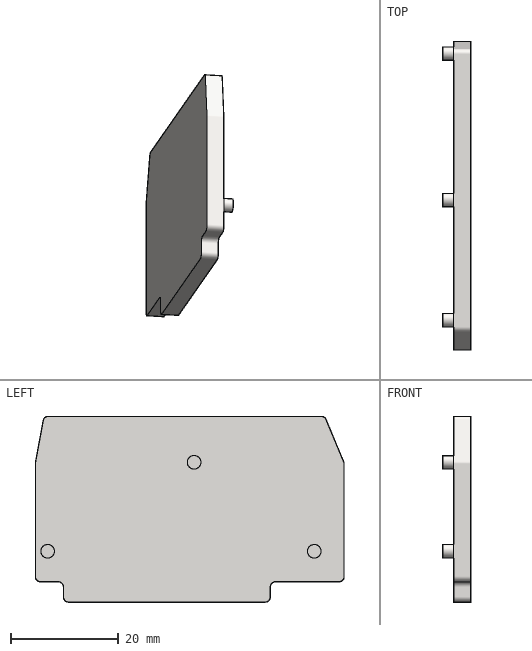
import cadquery as cq

length = 57.55
height = 34.65
total_depth = 5.25
plate_thickness = 3.2
peg_length = total_depth - plate_thickness

half_length = length / 2
top = height / 2
bottom = -top
shoulder = bottom + 3.8
slope_start = top - 8.7
back_slope_run = 1.6
front_slope_run = 3.6
foot_back = 23.55
foot_front = -15.0

corner_radius = 1.0

peg_diameter = 2.55
lower_peg_z = -7.8
upper_peg_z = 8.75
peg_centres = [(26.5, lower_peg_z), (-23.2, lower_peg_z), (-0.8, upper_peg_z)]

outer_face = -total_depth / 2
plate_face = outer_face + peg_length

outline = [
    (half_length, slope_start),
    (half_length - back_slope_run, top),
    (-half_length + front_slope_run, top),
    (-half_length, slope_start),
    (-half_length, shoulder),
    (foot_front, shoulder),
    (foot_front, bottom),
    (foot_back, bottom),
    (foot_back, shoulder),
    (half_length, shoulder),
]

plate = (
    cq.Workplane("YZ", origin=(plate_face, 0, 0))
    .polyline(outline)
    .close()
    .extrude(plate_thickness)
)

plate = plate.edges("|X").fillet(corner_radius)

pegs = (
    cq.Workplane("YZ", origin=(outer_face, 0, 0))
    .pushPoints(peg_centres)
    .circle(peg_diameter / 2)
    .extrude(peg_length)
)

result = plate.union(pegs)